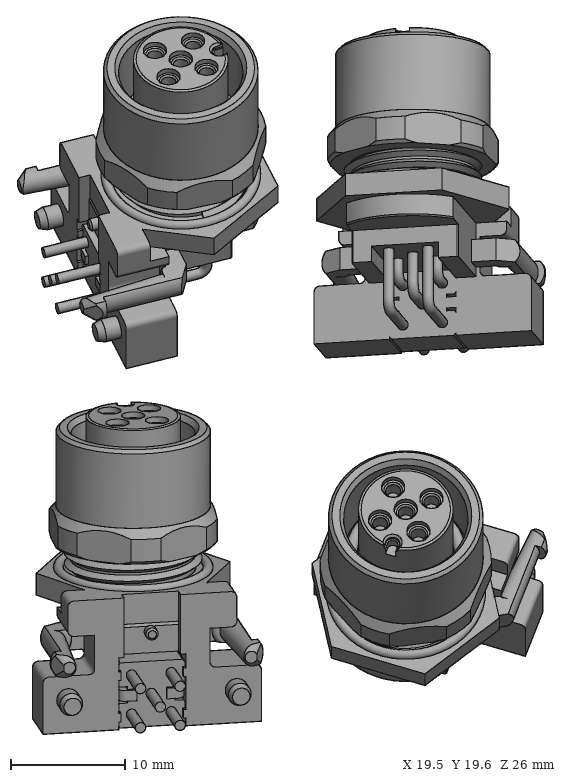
import cadquery as cq
import math

total_height = 26.0
sleeve_top = 24.9
nut_top = 17.78
nut_bottom = 14.65
plate_top = 12.06
plate_bottom = 10.05
body_bottom = 5.2
window_top = 6.6

sleeve_radius = 6.75
sleeve_chamfer = 0.3
cavity_radius = 5.43
cavity_mouth_radius = 5.77
cavity_mouth_depth = 0.52
cavity_floor = 18.2
insert_radius = 4.13
insert_chamfer_height = 0.08
insert_chamfer_width = 0.23
seal_section_radius = 0.52
seal_center_radius = 4.73

contact_offset = 1.77
socket_radius = 1.01
socket_depth = 0.52
bore_mouth_radius = 0.8
bore_radius = 0.65
bore_taper_depth = 0.15
bore_depth = 2.08
key_center = 3.55
key_mouth_radius = 0.83
key_radius = 0.62
key_shoulder_depth = 0.42
key_floor_radius = 0.47
key_depth = 1.3
key_chamfer = key_mouth_radius - key_radius
pin_radius = 0.47
pin_bend_radius = 0.88
pin_tip = -12.12
pin_pitch = 1.8
pin_lower_row = 1.22
pin_middle = pin_lower_row + pin_pitch

nut_apothem = 7.05
nut_corner_radius = 7.5
nut_top_radius = 6.79
nut_top_chamfer = 0.8
nut_bottom_chamfer = 0.29
nut_turn = -2.5
thread_crest_radius = 6.03
thread_root_radius = 5.49
thread_pitch = 1.0
thread_turns = 3
thread_start = plate_top - 0.08
thread_base_half = 0.45
thread_overlap = 0.08
ring_section_radius = 0.45
ring_center_radius = 6.55

plate_apothem = 7.5
plate_front = -5.5
body_radius = 7.0
body_half_width = 4.78
collar_bottom = 8.1
body_back = 3.1
body_edge_chamfer = 0.13

block_back = -3.8
block_front = -8.55
foot_half_width = 9.75
foot_height = 5.23
neck_half_width = 5.15
head_half_width = 7.55
head_bottom = 8.81
block_round = 0.55
neck_round = 0.5
recess_half_width = 2.52
recess_upper_face = -7.51
recess_lower_face = -7.62
recess_ramp_top = 9.3
recess_ramp_bottom = 9.05
window_half_width = 3.0
peg_spacing = 7.51
peg_height = 3.05
peg_radius = 1.01
peg_tip = -10.63
peg_chamfer_length = 0.68
peg_chamfer = 0.23
stud_radius = 0.55
stud_height = 8.55
stud_chamfer = 0.18

holder_front = -8.09
holder_top = 5.98
holder_corner = 0.2
tongue_depth = 0.2
tongue_height = 0.8
tongue_rise = 1.9
latch_pocket_half_height = 0.75
latch_pocket_inner = 2.13
latch_half_height = 0.5
latch_inner = 1.35
latch_outer_face = 2.24
latch_front = -8.4

arm_middle = 7.07
arm_radius = 1.01
arm_outer = 8.9
arm_root_axis = 7.8
arm_tip_axis = 8.5
arm_root = -3.12
arm_overrun = 1.3
arm_tip = -12.1
arm_back = -2.0
arm_shoulder_half_width = 7.02
arm_shoulder = -3.12
barb_outer = 9.46
barb_start = -10.22
barb_widest = -10.6
barb_tip_outer = 8.6
arm_inner_limit = 6.5
arm_bulge = 0.42
arm_root_round = 0.52
tip_face_radius = 0.55
tip_face_center = 8.1
tip_taper_slope = 0.85


def box(x0, x1, y0, y1, z0, z1):
    """Box between two opposite corners."""
    return cq.Workplane("XY").box(x1 - x0, y1 - y0, z1 - z0, centered=False).translate((x0, y0, z0))


def cylinder(radius, z0, z1, x=0.0, y=0.0):
    """Upright cylinder."""
    return cq.Workplane("XY", origin=(x, y, z0)).circle(radius).extrude(z1 - z0)


def forward_cylinder(radius, x, z, back, front):
    """Cylinder running toward -Y from back to front."""
    return cq.Workplane("XZ", origin=(x, back, z)).circle(radius).extrude(back - front)


def torus(center_radius, section_radius, z):
    """Ring around the main axis."""
    section = cq.Workplane("XZ").center(center_radius, z).circle(section_radius)
    return section.revolve(360, (-center_radius, 0), (-center_radius, 1))


def hexagon(apothem, z0, z1):
    """Hexagonal prism with two corners on the X axis."""
    across_corners = 2 * apothem / math.cos(math.pi / 6)
    return cq.Workplane("XY", origin=(0, 0, z0)).polygon(6, across_corners).extrude(z1 - z0)


def mirrored(half):
    """The given half joined to its mirror image across the YZ plane."""
    return half.union(half.mirror("YZ"))


def make_sleeve():
    sleeve = cylinder(sleeve_radius, nut_bottom, sleeve_top).faces(">Z").chamfer(sleeve_chamfer)
    cavity = (
        cq.Workplane("XZ")
        .moveTo(0, cavity_floor)
        .lineTo(cavity_radius, cavity_floor)
        .lineTo(cavity_radius, sleeve_top - cavity_mouth_depth)
        .lineTo(cavity_mouth_radius, sleeve_top)
        .lineTo(0, sleeve_top)
        .close()
        .revolve(360, (0, 0), (0, 1))
    )
    seal = torus(seal_center_radius, seal_section_radius, cavity_floor + seal_section_radius / 2)
    return sleeve.cut(cavity).union(seal)


def make_socket_cutter(x, y):
    bore_top = total_height - socket_depth
    taper_bottom = bore_top - bore_taper_depth
    bore_bottom = total_height - bore_depth
    return (
        cq.Workplane("XZ")
        .moveTo(0, bore_bottom)
        .lineTo(bore_radius, bore_bottom)
        .lineTo(bore_radius, taper_bottom)
        .lineTo(bore_mouth_radius, bore_top)
        .lineTo(socket_radius, bore_top)
        .lineTo(socket_radius, total_height)
        .lineTo(0, total_height)
        .close()
        .revolve(360, (0, 0), (0, 1))
        .translate((x, y, 0))
    )


def make_key_cutter(radius, depth):
    """Round-ended keyway, open at the +Y side of the insert."""
    bottom = total_height - depth
    rounded_end = cylinder(radius, bottom, total_height, y=key_center)
    opening = box(-radius, radius, key_center, insert_radius + 0.25, bottom, total_height)
    return rounded_end.union(opening)


def make_insert():
    insert = cylinder(insert_radius, cavity_floor - 0.25, total_height)
    insert = insert.faces(">Z").chamfer(insert_chamfer_height, insert_chamfer_width)
    corners = [(sx * contact_offset, sy * contact_offset) for sx in (-1, 1) for sy in (-1, 1)]
    for x, y in [(0, 0)] + corners:
        insert = insert.cut(make_socket_cutter(x, y))
    upper_key = make_key_cutter(key_radius, key_shoulder_depth)
    lower_key = make_key_cutter(key_floor_radius, key_depth)
    mouth_base = cq.Vector(0, key_center, total_height - key_chamfer)
    key_mouth = cq.Workplane("XY").add(
        cq.Solid.makeCone(key_radius, key_mouth_radius, key_chamfer, mouth_base)
    )
    return insert.cut(upper_key).cut(lower_key).cut(key_mouth)


def make_nut():
    envelope = (
        cq.Workplane("XZ")
        .moveTo(0, nut_bottom)
        .lineTo(nut_corner_radius - nut_bottom_chamfer, nut_bottom)
        .lineTo(nut_corner_radius, nut_bottom + nut_bottom_chamfer)
        .lineTo(nut_corner_radius, nut_top - nut_top_chamfer)
        .lineTo(nut_top_radius, nut_top)
        .lineTo(0, nut_top)
        .close()
        .revolve(360, (0, 0), (0, 1))
    )
    prism = hexagon(nut_apothem, nut_bottom, nut_top).rotate((0, 0, 0), (0, 0, 1), 30 + nut_turn)
    return prism.intersect(envelope).cut(cylinder(cavity_radius, cavity_floor, nut_top))


def make_thread():
    core = cylinder(thread_root_radius, plate_bottom, nut_bottom + 0.25)
    inner_radius = thread_root_radius - thread_overlap
    path = cq.Wire.makeHelix(thread_pitch, thread_pitch * thread_turns, inner_radius)
    ridge = (
        cq.Workplane("XZ")
        .moveTo(inner_radius, -thread_base_half)
        .lineTo(thread_crest_radius, 0)
        .lineTo(inner_radius, thread_base_half)
        .close()
        .sweep(cq.Workplane("XY").add(path), isFrenet=True)
        .translate((0, 0, thread_start))
    )
    return core.union(ridge)


def make_plate():
    plate = hexagon(plate_apothem, plate_bottom, plate_top)
    plate = plate.intersect(
        box(-foot_half_width, foot_half_width, plate_front, plate_apothem + 0.25, plate_bottom, plate_top)
    )
    return plate.union(torus(ring_center_radius, ring_section_radius, plate_top))


def make_body():
    collar = cylinder(body_radius, collar_bottom, plate_bottom).faces("<Z").chamfer(body_edge_chamfer)
    flats = box(-body_half_width, body_half_width, block_back, body_radius, collar_bottom, plate_bottom)
    lower = box(-body_half_width, body_half_width, block_back, body_back, body_bottom, plate_bottom)
    lower = lower.faces(">Y").edges("|Z").chamfer(body_edge_chamfer)
    channel = box(-window_half_width, window_half_width, block_back, body_back, body_bottom, window_top)
    return collar.intersect(flats).union(lower).cut(channel)


def make_tongues():
    """Guide tongues standing in from the window walls."""
    tongues = cq.Workplane("XY")
    for side in (-1, 1):
        z = pin_middle + side * tongue_rise
        tongue = box(
            window_half_width - tongue_depth, window_half_width, block_front, block_back,
            z - tongue_height / 2, z + tongue_height / 2,
        )
        tongues = tongues.add(mirrored(tongue))
    return tongues.combine()


def make_block():
    depth = block_back - block_front

    def slab(half_width, z0, z1):
        return box(-half_width, half_width, block_front, block_back, z0, z1)

    foot = slab(foot_half_width, 0, foot_height).edges("|Y and >Z").fillet(block_round)
    neck = slab(neck_half_width, 0, head_bottom)
    head = slab(head_half_width, head_bottom, plate_top).edges("|Y").fillet(block_round)
    block = foot.union(neck).union(head)
    corner = (
        cq.Workplane("XZ", origin=(0, block_back, 0))
        .moveTo(neck_half_width, foot_height)
        .lineTo(neck_half_width + neck_round, foot_height)
        .radiusArc((neck_half_width, foot_height + neck_round), neck_round)
        .close()
        .extrude(depth)
    )
    block = block.union(mirrored(corner))
    plate_seat = box(-head_half_width, head_half_width, plate_front, block_back, plate_bottom, plate_top)
    window = box(-window_half_width, window_half_width, block_front, block_back, 0, window_top)
    recess = (
        cq.Workplane("YZ", origin=(-recess_half_width, 0, 0))
        .moveTo(block_front, window_top)
        .lineTo(recess_lower_face, window_top)
        .lineTo(recess_lower_face, recess_ramp_bottom)
        .lineTo(recess_upper_face, recess_ramp_top)
        .lineTo(recess_upper_face, plate_top)
        .lineTo(block_front, plate_top)
        .close()
        .extrude(2 * recess_half_width)
    )
    block = block.cut(plate_seat).cut(window).cut(recess)
    stud = forward_cylinder(stud_radius, 0, stud_height, recess_upper_face, block_front)
    block = block.union(stud.faces("<Y").chamfer(stud_chamfer))
    peg = forward_cylinder(peg_radius, peg_spacing, peg_height, block_back, peg_tip)
    peg = peg.faces("<Y").chamfer(peg_chamfer_length, peg_chamfer)
    return block.union(mirrored(peg)).union(make_tongues())


def make_holder():
    holder = box(-window_half_width, window_half_width, holder_front, block_back, 0, holder_top)
    holder = holder.edges("|Y").chamfer(holder_corner)
    pocket = box(
        latch_pocket_inner, window_half_width, holder_front, block_back,
        pin_middle - latch_pocket_half_height, pin_middle + latch_pocket_half_height,
    )
    holder = holder.cut(mirrored(pocket))
    pocket_corners = cq.selectors.BoxSelector(
        (-window_half_width - 0.25, block_front, pin_middle - latch_pocket_half_height - 0.25),
        (window_half_width + 0.25, 0, pin_middle + latch_pocket_half_height + 0.25),
    )
    holder = holder.edges("|Y").edges(pocket_corners).edges(">X or <X").fillet(holder_corner)
    holder = holder.cut(make_tongues())
    latch = box(
        latch_inner, window_half_width, latch_front, block_back,
        pin_middle - latch_half_height, pin_middle + latch_half_height,
    )
    latch = latch.edges("|Z and <Y and >X").fillet(window_half_width - latch_outer_face)
    return holder.union(mirrored(latch))


def make_pin(x, y, z):
    """Pin dropping from the body at (x, y) and bending forward at height z."""
    path = (
        cq.Workplane("YZ", origin=(x, 0, 0))
        .moveTo(y, window_top + 0.25)
        .lineTo(y, z + pin_bend_radius)
        .radiusArc((y - pin_bend_radius, z), pin_bend_radius)
        .lineTo(pin_tip, z)
    )
    return cq.Workplane("XY", origin=(x, y, window_top + 0.25)).circle(pin_radius).sweep(path)


def make_pins():
    upper_row = pin_lower_row + 2 * pin_pitch
    pins = make_pin(0, 0, pin_middle)
    for x in (-contact_offset, contact_offset):
        pins = pins.union(make_pin(x, contact_offset, pin_lower_row))
        pins = pins.union(make_pin(x, -contact_offset, upper_row))
    return pins


def make_arm_envelope(outer, back, front):
    """Bar from the body to x = outer, with its outer side bulging over the full height."""
    bottom = arm_middle - arm_radius
    top = arm_middle + arm_radius
    return (
        cq.Workplane("XZ", origin=(0, back, 0))
        .moveTo(body_half_width, bottom)
        .lineTo(outer - arm_bulge, bottom)
        .threePointArc((outer, arm_middle), (outer - arm_bulge, top))
        .lineTo(body_half_width, top)
        .close()
        .extrude(back - front)
    )


def make_leaning_side():
    """Round inner side of an arm, leaning outward to the tip, and all space outside of it."""
    lean = (arm_tip_axis - arm_root_axis) / (arm_root - arm_tip)
    root = cq.Vector(arm_root_axis - lean * arm_overrun, arm_root + arm_overrun, arm_middle)
    tip = cq.Vector(arm_tip_axis + lean * arm_overrun, arm_tip - arm_overrun, arm_middle)
    axis = tip - root
    rod = cq.Workplane("XY").add(cq.Solid.makeCylinder(arm_radius, axis.Length, root, axis))
    outside = (
        cq.Workplane("XY", origin=(0, 0, arm_middle - arm_radius))
        .polyline([(root.x, root.y), (tip.x, tip.y), (barb_outer, tip.y), (barb_outer, root.y)])
        .close()
        .extrude(2 * arm_radius)
    )
    return rod.union(outside)


def make_tip_taper():
    """Cone that narrows the end of an arm to a small face."""
    length = arm_root - arm_tip
    base_radius = tip_face_radius + tip_taper_slope * length
    tip = cq.Vector(tip_face_center, arm_tip, arm_middle)
    return cq.Workplane("XY").add(
        cq.Solid.makeCone(tip_face_radius, base_radius, length, tip, cq.Vector(0, 1, 0))
    )


def make_arm_root():
    """Concave round between the bridge and the inner side of an arm."""
    root_end = block_back - arm_root_round
    return (
        cq.Workplane("XY", origin=(arm_root_axis, 0, arm_middle))
        .moveTo(0, block_back)
        .lineTo(-arm_radius - arm_root_round, block_back)
        .radiusArc((-arm_radius, root_end), -arm_root_round)
        .lineTo(0, root_end)
        .close()
        .revolve(360, (0, 0), (0, 1))
    )


def make_arms():
    base = cq.Workplane("XY", origin=(0, 0, arm_middle - arm_radius))
    arm_outline = [
        (arm_inner_limit, arm_root),
        (arm_outer, arm_root),
        (arm_outer, barb_start),
        (barb_outer, barb_start),
        (barb_outer, barb_widest),
        (barb_tip_outer, arm_tip),
        (arm_inner_limit, arm_tip),
    ]
    bridge_outline = [
        (body_half_width, block_back),
        (arm_outer, block_back),
        (arm_outer, arm_shoulder),
        (arm_shoulder_half_width, arm_back),
        (body_half_width, arm_back),
    ]
    shaft = make_arm_envelope(arm_outer, arm_back, barb_start)
    envelope = shaft.union(make_arm_envelope(barb_outer, barb_start, arm_tip))
    arm = base.polyline(arm_outline).close().extrude(2 * arm_radius)
    arm = arm.intersect(make_leaning_side()).intersect(make_tip_taper())
    bridge = base.polyline(bridge_outline).close().extrude(2 * arm_radius)
    arm = arm.union(bridge).union(make_arm_root()).intersect(envelope)
    return mirrored(arm)


result = make_sleeve()
for feature in (
    make_insert(), make_nut(), make_thread(), make_plate(), make_body(),
    make_block(), make_arms(), make_holder(), make_pins(),
):
    result = result.union(feature)